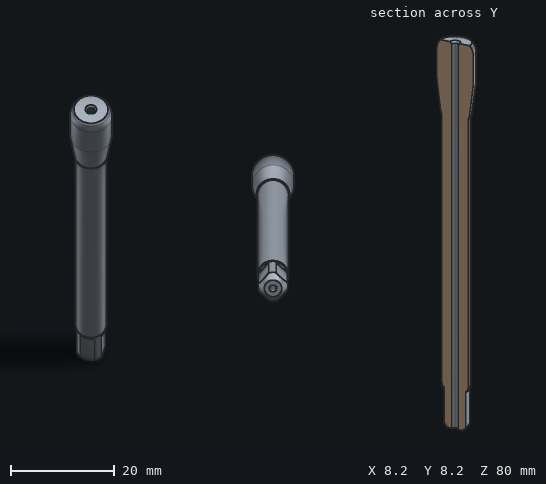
import cadquery as cq
import math

length = 80.0
head_diameter = 8.2
shaft_diameter = 6.0
drive_diameter = 5.8
drive_across_flats = 5.0

end_face_radius = 3.3
bevel_outer_radius = 3.6
bevel_height = 0.4
shoulder_height = 1.8
head_taper_top = 71.7
head_taper_bottom = 65.0
taper_bottom_radius = 3.2

shaft_bottom = 9.0
shaft_chamfer = 0.2
flat_top = 8.2
run_out_angle = 45
tip_chamfer = 1.2

hole_diameter = 1.4
mouth_diameter = 2.2
countersink_angle = 90

head_radius = head_diameter / 2
shaft_radius = shaft_diameter / 2
drive_radius = drive_diameter / 2
run_out_height = (drive_diameter - drive_across_flats) / 2
taper_step = taper_bottom_radius - shaft_radius


def make_body():
    """Revolve the half profile of the whole rod about Z."""
    shoulder_width = head_radius - bevel_outer_radius
    shoulder_bottom = length - shoulder_height
    arc_height = shoulder_height - bevel_height
    arc_radius = (shoulder_width**2 + arc_height**2) / (2 * shoulder_width)
    half_arc_angle = math.asin(arc_height / arc_radius) / 2
    shoulder_middle = (
        head_radius - arc_radius * (1 - math.cos(half_arc_angle)),
        shoulder_bottom + arc_radius * math.sin(half_arc_angle),
    )
    return (
        cq.Workplane("XZ")
        .lineTo(drive_radius - tip_chamfer, 0)
        .lineTo(drive_radius, tip_chamfer)
        .lineTo(drive_radius, shaft_bottom - shaft_chamfer)
        .lineTo(shaft_radius, shaft_bottom)
        .lineTo(shaft_radius, head_taper_bottom - taper_step)
        .lineTo(taper_bottom_radius, head_taper_bottom)
        .lineTo(head_radius, head_taper_top)
        .lineTo(head_radius, shoulder_bottom)
        .threePointArc(shoulder_middle, (bevel_outer_radius, length - bevel_height))
        .lineTo(end_face_radius, length)
        .lineTo(0, length)
        .close()
        .revolve(360, (0, 0, 0), (0, 1, 0))
    )


def cut_drive_flats(body):
    """Trim the lower end to a square with rounded corners; each flat runs out along a sloping face."""
    square = cq.Workplane("XY").rect(drive_across_flats, drive_across_flats).extrude(flat_top)
    run_out = (
        cq.Workplane("XY", origin=(0, 0, flat_top))
        .rect(drive_across_flats, drive_across_flats)
        .extrude(run_out_height, taper=-run_out_angle)
    )
    surround = cq.Workplane("XY").circle(head_radius).extrude(flat_top + run_out_height)
    return body.cut(surround.cut(square).cut(run_out))


def cut_axial_hole(body):
    """Drill the rod through from its top face and countersink the mouth."""
    return body.faces(">Z").workplane().cskHole(hole_diameter, mouth_diameter, countersink_angle)


result = cut_axial_hole(cut_drive_flats(make_body()))